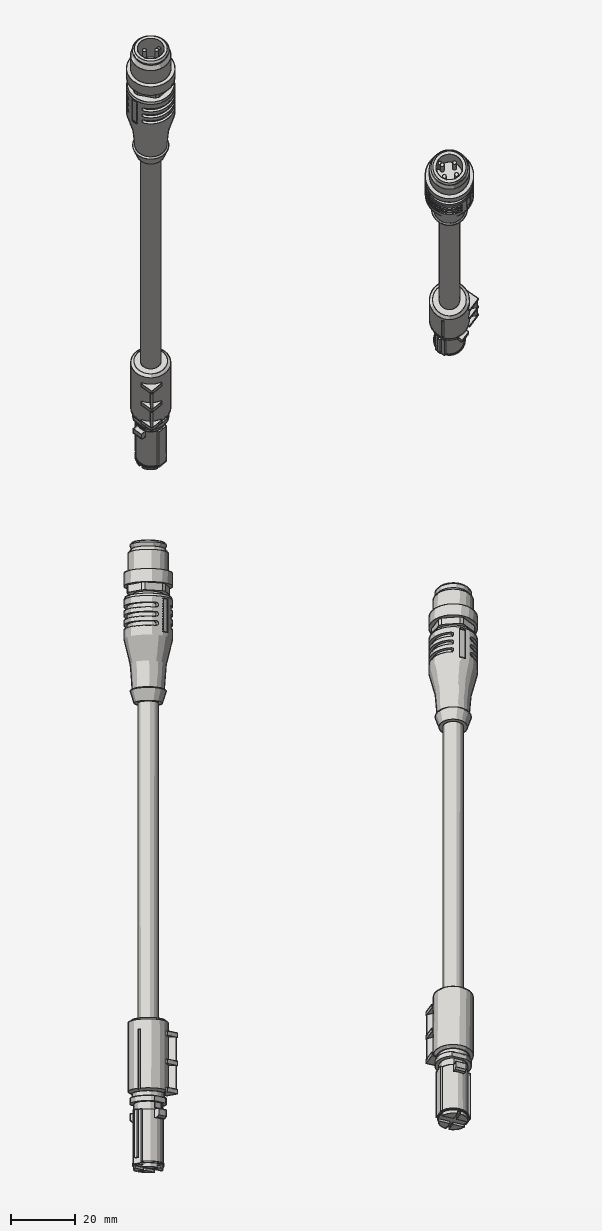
import cadquery as cq
import math

total_height = 197.4
overall_radius = 7.5

cable_radius = 3.2

tip_radius = 4.6
tip_bead_radius = 4.9
tip_bead_bottom = 1.2
tip_bead_top = 1.7
plug_radius = 4.6
plug_top = 18.2
tip_slot_width = 3.0
tip_notch_width = 1.0
tip_slot_height = 0.8
rib_half_width = 1.7
rib_reach = 5.0
key_half_width = 0.5
key_reach = 5.6
key_bottom = 3.0
fin_half_width = 1.7
fin_reach = 6.1
fin_bottom = 15.5
fin_chamfer = 0.6

neck_radius = 4.5
neck_top = 20.6
neck_flat_half_width = 1.5
neck_flat_half_depth = 4.1
neck_flat_bottom = 18.7
collar_radius = 5.0
flange_radius = 5.6
flange_top = 22.3

sleeve_radius = 6.2
sleeve_bottom = 23.8
sleeve_top = 46.9
sleeve_chamfer_height = 0.7
sleeve_chamfer_depth = 1.0
sleeve_groove_y = -1.7
sleeve_groove_width = 0.8
sleeve_groove_depth = 0.5
tag_bottom = 23.9
tag_top = 43.1
tag_inner = 1.8
tag_outer = 6.4
tag_rib_thickness = 1.4
tag_plate_thickness = 0.8

boot_bottom = total_height - 50.4
boot_end_radius = 4.4
boot_bead_z = total_height - 46.6
boot_bead_radius = 5.6
boot_waist_radius = 5.0
boot_bead_taper = 0.4
boot_shoulder_z = total_height - 38.2
boot_shoulder_radius = 5.6
grip_bottom = total_height - 30.4
grip_top = total_height - 17.2
grip_chamfer_height = 0.8
grip_chamfer_depth = 0.3
grip_groove_count = 3
grip_groove_pitch = 2.9
grip_groove_width = 1.5
grip_groove_depth = 0.9
grip_groove_start = 2.8
top_groove_z = total_height - 20.8
panel_width = 2.0
panel_bottom = total_height - 29.0
panel_top = total_height - 18.5
panel_depth = 0.4

connector_neck_radius = 4.6
hex_across_flats = 12.2
hex_corner_radius = 6.7
hex_bottom = total_height - 16.0
ring_bottom = total_height - 13.6
ring_top = total_height - 9.5
shell_radius = 6.25
shell_shoulder = total_height - 3.2
lip_groove_radius = 5.2
lip_groove_z = total_height - 1.9
lip_radius = 5.7
lip_z = total_height - 0.7
lip_end_radius = 5.1
socket_radius = 4.1
socket_depth = 9.0
pin_count = 4
pin_radius = 0.6
pin_circle_radius = 2.7
pin_recess = 3.0
socket_key_width = 1.0
socket_key_reach = 0.8


def cylinder(radius, bottom, top):
    return cq.Workplane("XY").workplane(offset=bottom).circle(radius).extrude(top - bottom)


def block(x_min, x_max, y_min, y_max, z_min, z_max):
    size = (x_max - x_min, y_max - y_min, z_max - z_min)
    return cq.Workplane("XY").box(*size, centered=False).translate((x_min, y_min, z_min))


def revolved(profile):
    """Turn (radius, z) points, listed upwards, into a solid about the Z axis."""
    outline = [(0, profile[0][1])] + profile + [(0, profile[-1][1])]
    return cq.Workplane("XZ").polyline(outline).close().revolve(360, (0, 0), (0, 1))


def plug():
    body = cylinder(tip_radius, 0, tip_bead_bottom)
    body = body.union(cylinder(tip_bead_radius, tip_bead_bottom, tip_bead_top))
    body = body.union(cylinder(plug_radius, tip_bead_top, plug_top))
    body = body.union(block(-rib_reach, rib_reach, -rib_half_width, rib_half_width, tip_bead_bottom, plug_top))
    body = body.union(block(-key_reach, 0, -key_half_width, key_half_width, key_bottom, plug_top))
    fins = block(-fin_half_width, fin_half_width, -fin_reach, fin_reach, fin_bottom, plug_top)
    body = body.union(fins.faces("<Z").edges("|X").chamfer(fin_chamfer))
    for x_size, y_size in ((3 * plug_radius, tip_slot_width), (tip_notch_width, 3 * plug_radius)):
        body = body.cut(cq.Workplane("XY").box(x_size, y_size, 2 * tip_slot_height))
    return body


def neck_and_collar():
    neck = cylinder(neck_radius, plug_top, neck_top)
    for near, far in ((-neck_radius, -neck_flat_half_depth), (neck_flat_half_depth, neck_radius)):
        flat = block(-neck_flat_half_width, neck_flat_half_width, near, far, neck_flat_bottom, neck_top)
        neck = neck.cut(flat)
    flange = cylinder(flange_radius, neck_top, flange_top).intersect(
        block(-flange_radius, flange_radius, -collar_radius, collar_radius, neck_top, flange_top)
    )
    collar = cylinder(collar_radius, neck_top, sleeve_bottom)
    return neck.union(flange).union(collar)


def tag():
    """Square corner ribs joined by a radial plate, on the +X -Y side of the sleeve."""
    plate_length = tag_outer * math.sqrt(2) - tag_plate_thickness / 2
    plate = block(
        0, plate_length, -tag_plate_thickness / 2, tag_plate_thickness / 2, tag_bottom, tag_top
    ).rotate((0, 0, 0), (0, 0, 1), -45)
    highest_rib = tag_top - tag_rib_thickness
    for rib_z in (tag_bottom, (tag_bottom + highest_rib) / 2, highest_rib):
        plate = plate.union(
            block(tag_inner, tag_outer, -tag_outer, -tag_inner, rib_z, rib_z + tag_rib_thickness)
        )
    return plate


def sleeve():
    end_radius = sleeve_radius - sleeve_chamfer_depth
    body = revolved([
        (end_radius, sleeve_bottom),
        (sleeve_radius, sleeve_bottom + sleeve_chamfer_height),
        (sleeve_radius, sleeve_top - sleeve_chamfer_height),
        (end_radius, sleeve_top),
    ])
    groove = block(
        -sleeve_radius,
        -sleeve_radius + sleeve_groove_depth,
        sleeve_groove_y - sleeve_groove_width / 2,
        sleeve_groove_y + sleeve_groove_width / 2,
        sleeve_bottom,
        tag_top,
    )
    return body.cut(groove).union(tag())


def grip_groove(center_z):
    """Ring-shaped groove on the -X and +X sides, with round ends next to the plain -Y and +Y strips."""
    bottom = center_z - grip_groove_width / 2
    top = center_z + grip_groove_width / 2
    ring = cylinder(overall_radius + grip_groove_depth, bottom, top)
    ring = ring.cut(cylinder(overall_radius - grip_groove_depth, bottom, top))
    slot_length = 2 * overall_radius
    slot_center = grip_groove_start + slot_length / 2
    slots = (
        cq.Workplane("XZ")
        .pushPoints([(-slot_center, center_z), (slot_center, center_z)])
        .slot2D(slot_length, grip_groove_width)
        .extrude(2 * overall_radius, both=True)
    )
    return ring.intersect(slots)


def grip():
    body = revolved([
        (boot_end_radius, boot_bottom),
        (boot_bead_radius, boot_bead_z),
        (boot_waist_radius, boot_bead_z + boot_bead_taper),
        (boot_shoulder_radius, boot_shoulder_z),
        (overall_radius, grip_bottom),
        (overall_radius, grip_top - grip_chamfer_height),
        (overall_radius - grip_chamfer_depth, grip_top),
    ])
    for index in range(grip_groove_count):
        body = body.cut(grip_groove(top_groove_z - index * grip_groove_pitch))
    panel_floor = overall_radius - panel_depth
    for near, far in ((-overall_radius, -panel_floor), (panel_floor, overall_radius)):
        body = body.cut(block(-panel_width / 2, panel_width / 2, near, far, panel_bottom, panel_top))
    return body


def hex_nut():
    across_corners = hex_across_flats / math.cos(math.pi / 6)
    height = ring_bottom - hex_bottom
    nut = cq.Workplane("XY").polygon(6, across_corners).extrude(height)
    nut = nut.rotate((0, 0, 0), (0, 0, 1), 30)
    trim = cq.Workplane("XY").polygon(6, 2 * hex_corner_radius / math.cos(math.pi / 6)).extrude(height)
    return nut.intersect(trim).translate((0, 0, hex_bottom))


def connector():
    body = revolved([
        (shell_radius, ring_top),
        (shell_radius, shell_shoulder),
        (lip_groove_radius, lip_groove_z),
        (lip_radius, lip_z),
        (lip_end_radius, total_height),
    ])
    body = body.union(cylinder(overall_radius, ring_bottom, ring_top))
    body = body.union(hex_nut())
    body = body.union(cylinder(connector_neck_radius, grip_top, hex_bottom))
    socket_floor = total_height - socket_depth
    body = body.cut(cylinder(socket_radius, socket_floor, total_height))
    pin_top = total_height - pin_recess
    key_half = socket_key_width / 2
    body = body.union(
        block(-key_half, key_half, socket_radius - socket_key_reach, lip_groove_radius, socket_floor, pin_top)
    )
    for index in range(pin_count):
        angle = 2 * math.pi * index / pin_count
        center = (pin_circle_radius * math.cos(angle), pin_circle_radius * math.sin(angle), 0)
        body = body.union(cylinder(pin_radius, socket_floor, pin_top).translate(center))
    return body


result = cylinder(cable_radius, sleeve_top, boot_bottom)
for section in (plug(), neck_and_collar(), sleeve(), grip(), connector()):
    result = result.union(section)